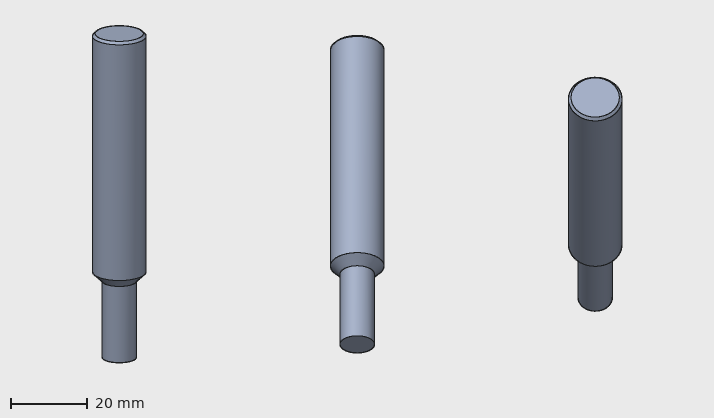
import cadquery as cq

total_length = 89.0
shank_diameter = 14.0
pin_diameter = 9.0
pin_length = 21.0
end_chamfer = 0.7

collar_height = (shank_diameter - pin_diameter) / 2
shank_base = pin_length + collar_height
shank_length = total_length - shank_base


def make_pin():
    """Plain cylindrical tip standing on the XY plane."""
    return cq.Workplane("XY").circle(pin_diameter / 2).extrude(pin_length)


def make_collar():
    """Solid cone frustum joining the pin diameter to the shank diameter."""
    return cq.Workplane("XY").add(
        cq.Solid.makeCone(
            pin_diameter / 2,
            shank_diameter / 2,
            collar_height,
            pnt=cq.Vector(0, 0, pin_length),
        )
    )


def make_shank():
    """Long cylinder with a chamfered upper end."""
    cylinder = (
        cq.Workplane("XY")
        .workplane(offset=shank_base)
        .circle(shank_diameter / 2)
        .extrude(shank_length)
    )
    return cylinder.faces(">Z").edges().chamfer(end_chamfer)


pin = make_pin()
collar = make_collar()
shank = make_shank()

result = cq.Compound.makeCompound([pin.val(), collar.val(), shank.val()])